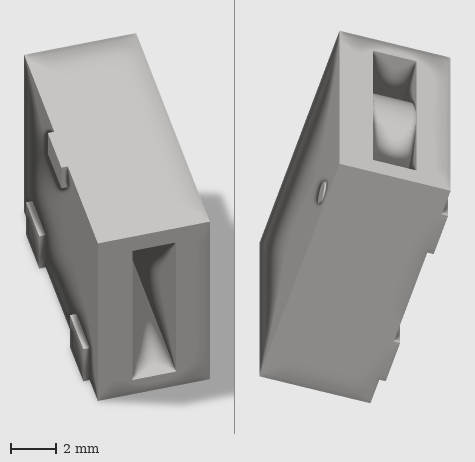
import cadquery as cq

body_width = 12.2
body_depth = 5.11
body_height = 9.8

window_depth = 2.0
window_height = 8.03
window_back_wall = 1.54
window_center_y = body_depth - window_back_wall - window_depth / 2

disc_diameter = 6.0
disc_center_x = -3.05

pad_thickness = 0.29
lower_pad_width = 2.2
lower_pad_height = 2.0
lower_pad_spacing = 7.3
upper_pad_width = 2.25
upper_pad_height = 1.28

marker_diameter = 1.0
marker_thickness = 0.1
marker_side_offset = 2.45
marker_center_z = 1.0


def front_pad(center_x, bottom_z, width, height):
    """Rectangular pad standing out from the front face."""
    pad = cq.Workplane("XY").box(width, pad_thickness, height, centered=(True, False, False))
    return pad.translate((center_x, -pad_thickness, bottom_z))


def cylinder_along_y(center_x, start_y, center_z, diameter, length):
    """Cylinder growing toward +Y from start_y."""
    solid = cq.Solid.makeCylinder(
        diameter / 2, length, cq.Vector(center_x, start_y, center_z), cq.Vector(0, 1, 0)
    )
    return cq.Workplane(obj=solid)


body = cq.Workplane("XY").box(body_width, body_depth, body_height, centered=(True, False, False))
window = (
    cq.Workplane("XY")
    .box(body_width, window_depth, window_height)
    .translate((0, window_center_y, body_height / 2))
)
disc = cylinder_along_y(
    disc_center_x, window_center_y - window_depth / 2, body_height / 2, disc_diameter, window_depth
)
marker = cylinder_along_y(
    marker_side_offset - body_width / 2, body_depth, marker_center_z, marker_diameter, marker_thickness
)

result = body.cut(window).union(disc).union(marker)
for side in (-1, 1):
    result = result.union(front_pad(side * lower_pad_spacing / 2, 0, lower_pad_width, lower_pad_height))
result = result.union(
    front_pad(0, body_height - upper_pad_height, upper_pad_width, upper_pad_height)
)